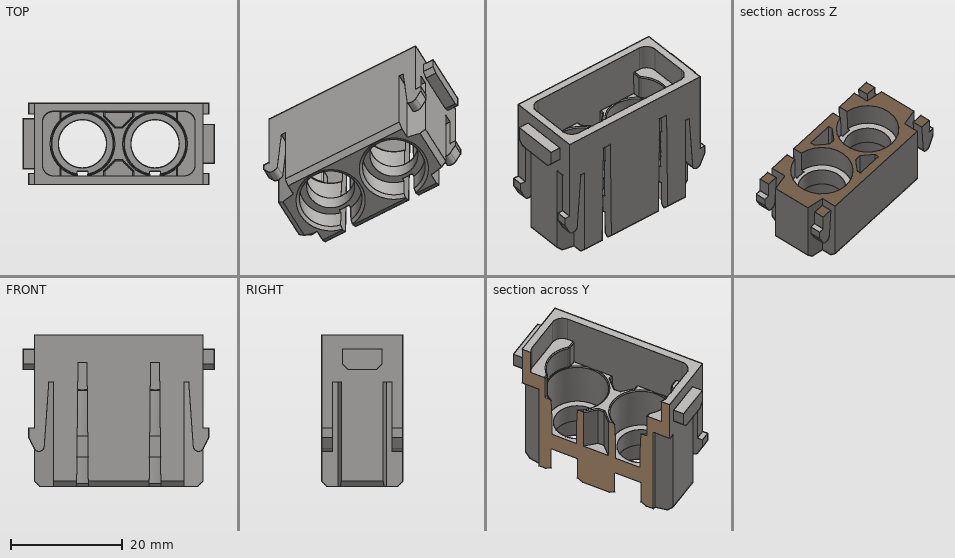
import cadquery as cq
import math

LENGTH = 30.2
WIDTH = 14.6
HEIGHT = 27.2
BOTTOM_CHAMFER = 1.0

CAVITY_LENGTH = 27.4
CAVITY_FRONT_Y = -5.75
CAVITY_REAR_Y = 5.85
CAVITY_CORNER_RADIUS = 2.0
REAR_DRAFT_DEGREES = 0.8
LEDGE_DEPTH = 4.9
DECK_DEPTH = 9.75
DECK_HALF_LENGTH = 10.35
EDGE_CHAMFER = 0.2
CHAMFER_DEGREES = 45

BORE_X = 6.5
BORE_CENTERS = [(-BORE_X, 0), (BORE_X, 0)]
THROUGH_RADIUS = 4.3
COUNTERBORE_RADIUS = 5.6
COUNTERBORE_DRAFT_DEGREES = 0.7
COLLAR_TOP_DEPTH = 18.15
COLLAR_BOTTOM_DEPTH = 21.9
BORE_TOP_CHAMFER = 0.2
BORE_BOTTOM_CHAMFER = 0.6

POCKET_HALF_WIDTH = 2.5
POCKET_TIP_HALF_WIDTH = 0.6
POCKET_TIP_Y = 3.05

SLOT_TOP_WIDTH = 1.62
SLOT_BOTTOM_WIDTH = 2.1
SLOT_FLOOR_Y = -4.95

NOTCH_DEPTH = 8.4
NOTCH_INNER_X = 11.72
NOTCH_OUTER_Y = 3.74
NOTCH_INNER_Y = 4.39

LATCH_THICKNESS = 2.0
LATCH_ROOT_X = 12.53
LATCH_HOOK_X = 16.15
LATCH_HOOK_TOP_DEPTH = 16.65
LATCH_HOOK_SIDE_DEPTH = 18.35
LATCH_TIP_RADIUS = 0.95
LATCH_TIP_X = 14.3
LATCH_TIP_DEPTH = 20.87

BAR_PROJECTION = 2.025
LEFT_BAR_WIDTH = 9.0
RIGHT_BAR_WIDTH = 7.0
BAR_TOP_DEPTH = 2.55
BAR_BOTTOM_DEPTH = 6.2
BAR_CHAMFER = 0.95


def level(depth):
    """Z of a plane at the given depth below the top face."""
    return HEIGHT - depth


def mirrored_in_x(solid):
    """The solid together with its mirror image across X = 0."""
    return solid.union(solid.mirror("YZ"))


def in_all_corners(solid):
    """The solid repeated in all four corners of the housing."""
    pair = mirrored_in_x(solid)
    return pair.union(pair.mirror("XZ"))


def column(points, bottom_depth, top_depth):
    """Vertical prism over a plan outline."""
    return (
        cq.Workplane("XY", origin=(0, 0, level(bottom_depth)))
        .polyline(points)
        .close()
        .extrude(bottom_depth - top_depth)
    )


def cylinders(radius, bottom_depth, top_depth):
    """One vertical cylinder on each bore axis."""
    return (
        cq.Workplane("XY", origin=(0, 0, level(bottom_depth)))
        .pushPoints(BORE_CENTERS)
        .circle(radius)
        .extrude(bottom_depth - top_depth)
    )


def cones(radius, chamfer, depth, rising):
    """Conical mouths on the bore axes: from the wide ring at this depth they narrow into the part."""
    wide_plane = cq.Workplane("XY", origin=(0, 0, level(depth)))
    inward = -chamfer if rising else chamfer
    return wide_plane.pushPoints(BORE_CENTERS).circle(radius + chamfer).extrude(inward, taper=CHAMFER_DEGREES)


def housing_block():
    block = cq.Workplane("XY").box(LENGTH, WIDTH, HEIGHT, centered=(True, True, False))
    return block.faces("<Z").chamfer(BOTTOM_CHAMFER)


def cavity_envelope():
    """Full-height space between the cavity walls, with a leaning rear wall."""
    rear_lean = HEIGHT * math.tan(math.radians(REAR_DRAFT_DEGREES))
    side_profile = [
        (CAVITY_FRONT_Y, 0),
        (CAVITY_REAR_Y - rear_lean, 0),
        (CAVITY_REAR_Y, HEIGHT),
        (CAVITY_FRONT_Y, HEIGHT),
    ]
    prism = cq.Workplane("YZ").polyline(side_profile).close().extrude(CAVITY_LENGTH / 2, both=True)
    return prism.edges("not(|X or |Y)").fillet(CAVITY_CORNER_RADIUS)


def stepped_cavity():
    """Cavity down to the end ledges, and further down to the deck between them."""
    upper = cq.Workplane("XY", origin=(0, 0, level(LEDGE_DEPTH))).rect(LENGTH, WIDTH).extrude(LEDGE_DEPTH)
    middle = (
        cq.Workplane("XY", origin=(0, 0, level(DECK_DEPTH)))
        .rect(2 * DECK_HALF_LENGTH, WIDTH)
        .extrude(DECK_DEPTH)
    )
    ledge_profile = [
        (DECK_HALF_LENGTH, level(LEDGE_DEPTH)),
        (DECK_HALF_LENGTH + EDGE_CHAMFER, level(LEDGE_DEPTH)),
        (DECK_HALF_LENGTH, level(LEDGE_DEPTH + EDGE_CHAMFER)),
    ]
    ledge_chamfer = cq.Workplane("XZ").polyline(ledge_profile).close().extrude(WIDTH / 2, both=True)
    return upper.union(middle).union(mirrored_in_x(ledge_chamfer)).intersect(cavity_envelope())


def deck_pockets():
    """Two pockets that narrow at 45 degrees towards the middle of the deck."""
    shoulder_y = POCKET_TIP_Y + POCKET_HALF_WIDTH - POCKET_TIP_HALF_WIDTH
    outline = [
        (-POCKET_HALF_WIDTH, WIDTH / 2),
        (-POCKET_HALF_WIDTH, shoulder_y),
        (-POCKET_TIP_HALF_WIDTH, POCKET_TIP_Y),
        (POCKET_TIP_HALF_WIDTH, POCKET_TIP_Y),
        (POCKET_HALF_WIDTH, shoulder_y),
        (POCKET_HALF_WIDTH, WIDTH / 2),
    ]
    straight = column(outline, COLLAR_TOP_DEPTH, DECK_DEPTH)
    mouth = (
        cq.Workplane("XY", origin=(0, 0, level(DECK_DEPTH + EDGE_CHAMFER)))
        .polyline(outline)
        .close()
        .extrude(EDGE_CHAMFER, taper=-CHAMFER_DEGREES)
    )
    pocket = straight.union(mouth)
    return pocket.union(pocket.mirror("XZ")).intersect(cavity_envelope())


def contact_bores():
    """Through holes, counterbored from both ends so that a collar remains."""
    end_walls = cylinders(COUNTERBORE_RADIUS, DECK_DEPTH, LEDGE_DEPTH)
    upper = (
        cq.Workplane("XY", origin=(0, 0, level(DECK_DEPTH)))
        .pushPoints(BORE_CENTERS)
        .circle(COUNTERBORE_RADIUS)
        .extrude(DECK_DEPTH - COLLAR_TOP_DEPTH, taper=COUNTERBORE_DRAFT_DEGREES)
    )
    through = cylinders(THROUGH_RADIUS, HEIGHT, LEDGE_DEPTH)
    lower = cylinders(COUNTERBORE_RADIUS, HEIGHT, COLLAR_BOTTOM_DEPTH)
    bores = end_walls.union(upper).union(through).union(lower)
    for mouth_depth in (LEDGE_DEPTH, DECK_DEPTH):
        mouths = cones(COUNTERBORE_RADIUS, BORE_TOP_CHAMFER, mouth_depth, True)
        bores = bores.union(mouths.intersect(cavity_envelope()))
    return bores.union(cones(COUNTERBORE_RADIUS, BORE_BOTTOM_CHAMFER, HEIGHT, False))


def ledge_corner_bevels():
    """Bevels on the vertical corners where the end ledge blocks meet the bore walls."""
    flat_end_x = DECK_HALF_LENGTH + EDGE_CHAMFER
    corner_y = math.sqrt(COUNTERBORE_RADIUS**2 - (DECK_HALF_LENGTH - BORE_X) ** 2)
    bore_end_y = math.sqrt(COUNTERBORE_RADIUS**2 - (flat_end_x - BORE_X) ** 2)
    outline = [
        (-DECK_HALF_LENGTH, -corner_y - EDGE_CHAMFER),
        (-DECK_HALF_LENGTH, -bore_end_y),
        (-flat_end_x, -bore_end_y),
    ]
    return in_all_corners(column(outline, DECK_DEPTH, LEDGE_DEPTH))


def front_slots():
    """Slots in the front wall, one per bore, widening downwards."""
    outline = [
        (-BORE_X - SLOT_BOTTOM_WIDTH / 2, 0),
        (-BORE_X - SLOT_TOP_WIDTH / 2, level(LEDGE_DEPTH)),
        (-BORE_X + SLOT_TOP_WIDTH / 2, level(LEDGE_DEPTH)),
        (-BORE_X + SLOT_BOTTOM_WIDTH / 2, 0),
    ]
    slot = (
        cq.Workplane("XZ", origin=(0, SLOT_FLOOR_Y, 0))
        .polyline(outline)
        .close()
        .extrude(WIDTH / 2 + SLOT_FLOOR_Y)
    )
    return mirrored_in_x(slot)


def corner_notches():
    """Notches in the four vertical corners, each with one slightly slanted wall."""
    outline = [
        (-LENGTH / 2, -WIDTH / 2),
        (-NOTCH_INNER_X, -WIDTH / 2),
        (-NOTCH_INNER_X, -NOTCH_INNER_Y),
        (-LENGTH / 2, -NOTCH_OUTER_Y),
    ]
    return in_all_corners(column(outline, HEIGHT, NOTCH_DEPTH))


def tip_tangent(x, depth, side):
    """Point where a line from (x, depth) touches the latch tip circle; side is +1 or -1."""
    center_depth = LATCH_TIP_DEPTH - LATCH_TIP_RADIUS
    dx = x + LATCH_TIP_X
    dz = center_depth - depth
    angle = math.atan2(dz, dx) + side * math.acos(LATCH_TIP_RADIUS / math.hypot(dx, dz))
    return (
        -LATCH_TIP_X + LATCH_TIP_RADIUS * math.cos(angle),
        level(center_depth) + LATCH_TIP_RADIUS * math.sin(angle),
    )


def latches():
    """Tapered arms with an outward hook and a round tip, one in each notch."""
    latch = (
        cq.Workplane("XZ", origin=(0, LATCH_THICKNESS - WIDTH / 2, 0))
        .moveTo(-LENGTH / 2, level(NOTCH_DEPTH))
        .lineTo(-LENGTH / 2, level(LATCH_HOOK_TOP_DEPTH))
        .lineTo(-LATCH_HOOK_X, level(LATCH_HOOK_TOP_DEPTH))
        .lineTo(-LATCH_HOOK_X, level(LATCH_HOOK_SIDE_DEPTH))
        .lineTo(*tip_tangent(-LATCH_HOOK_X, LATCH_HOOK_SIDE_DEPTH, 1))
        .threePointArc(
            (-LATCH_TIP_X, level(LATCH_TIP_DEPTH)),
            tip_tangent(-LATCH_ROOT_X, NOTCH_DEPTH, -1),
        )
        .lineTo(-LATCH_ROOT_X, level(NOTCH_DEPTH))
        .close()
        .extrude(LATCH_THICKNESS)
    )
    return in_all_corners(latch)


def keying_bar(side, width):
    """End bar with chamfered lower corners; side is -1 for the left end and +1 for the right."""
    bar_height = BAR_BOTTOM_DEPTH - BAR_TOP_DEPTH
    return (
        cq.Workplane("XY")
        .box(BAR_PROJECTION, width, bar_height)
        .faces("<Z")
        .edges("|X")
        .chamfer(BAR_CHAMFER)
        .translate((side * (LENGTH + BAR_PROJECTION) / 2, 0, level(BAR_TOP_DEPTH + bar_height / 2)))
    )


body = housing_block()
openings = [
    stepped_cavity(),
    deck_pockets(),
    contact_bores(),
    ledge_corner_bevels(),
    front_slots(),
    corner_notches(),
]
for opening in openings:
    body = body.cut(opening)
for addition in (latches(), keying_bar(-1, LEFT_BAR_WIDTH), keying_bar(1, RIGHT_BAR_WIDTH)):
    body = body.union(addition)
result = body